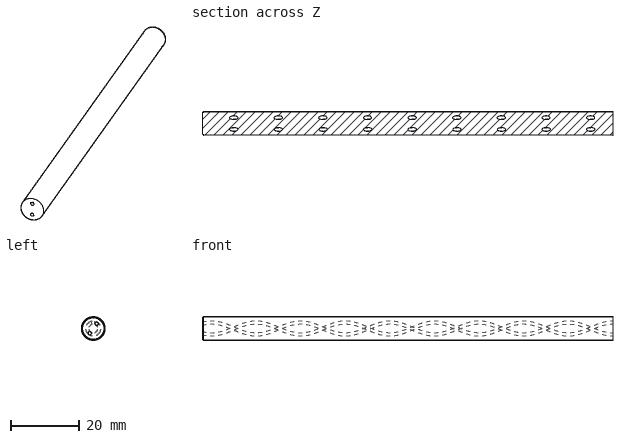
import cadquery as cq
import math

length = 120.0
diameter = 7.0
chamfer = 0.4

channel_diameter = 1.0
channel_circle_diameter = 3.5
start_angle = math.degrees(math.atan2(4, -3))
helix_angle = 40.0
lead = math.pi * diameter / math.tan(math.radians(helix_angle))
twist = -360.0 * length / lead


def make_rod():
    """Plain cylinder with its -X rim chamfered."""
    rod = cq.Workplane("YZ").circle(diameter / 2).extrude(length)
    return rod.faces("<X").chamfer(chamfer)


def make_channels():
    """Two opposite channels, round in cross-section, twisted end to end."""
    return (
        cq.Workplane("YZ")
        .transformed(rotate=(0, 0, start_angle))
        .polarArray(channel_circle_diameter / 2, 0, 360, 2)
        .circle(channel_diameter / 2)
        .twistExtrude(length, twist)
    )


result = make_rod().cut(make_channels())